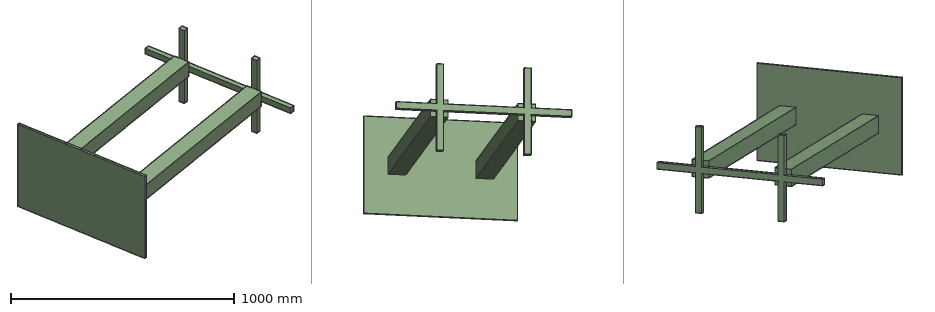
import cadquery as cq

rail_length = 800.0
total_depth = 1080.0
panel_height = 450.0

panel_width = 700.0
panel_thickness = 12.0

beam_size = 80.0
beam_spacing = 400.0
bar_depth = 25.0
bar_width = 30.0
upright_height = 400.0

front_y = -total_depth / 2
panel_back_y = front_y + panel_thickness
bars_front_y = total_depth / 2 - bar_depth
beam_length = bars_front_y - panel_back_y


def block(width, depth, height, x, y_start):
    """Box centred on x and on Z = 0, running from y_start towards +Y."""
    return (
        cq.Workplane("XY")
        .box(width, depth, height, centered=(True, False, True))
        .translate((x, y_start, 0))
    )


def make_panel():
    """Flat rectangular panel against the front ends of the beams."""
    return block(panel_width, panel_thickness, panel_height, 0, front_y)


def make_frame():
    """Cross rail carrying two uprights and the two square beams."""
    frame = block(rail_length, bar_depth, bar_width, 0, bars_front_y)
    for x in (-beam_spacing / 2, beam_spacing / 2):
        upright = block(bar_width, bar_depth, upright_height, x, bars_front_y)
        beam = block(beam_size, beam_length, beam_size, x, panel_back_y)
        frame = frame.union(upright).union(beam)
    return frame


panel = make_panel()
frame = make_frame()

result = cq.Compound.makeCompound([panel.val(), *frame.solids().vals()])